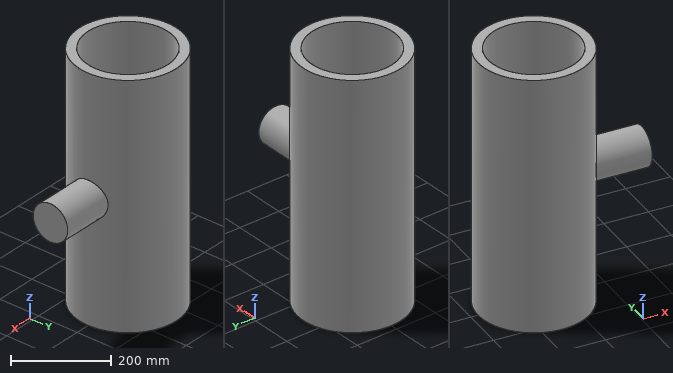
import cadquery as cq

pipe_diameter = 250.0
pipe_wall = 22.7
pipe_length = 590.0

branch_diameter = 90.0
branch_reach = 243.0

pipe_radius = pipe_diameter / 2
bore_diameter = pipe_diameter - 2 * pipe_wall


def upright_cylinder(diameter):
    """Cylinder on the pipe axis, as long as the pipe."""
    return cq.Workplane("XY").circle(diameter / 2).extrude(pipe_length / 2, both=True)


def side_branch():
    """Cylinder from the pipe axis out to the free end of the branch."""
    return cq.Workplane("YZ").circle(branch_diameter / 2).extrude(branch_reach)


body = upright_cylinder(pipe_diameter).union(side_branch())
result = body.cut(upright_cylinder(bore_diameter))